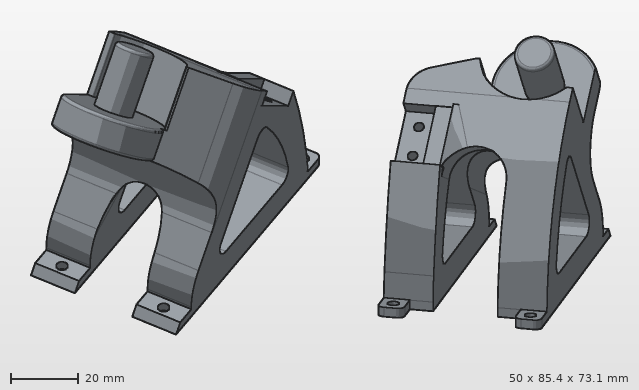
import cadquery as cq
import math


WIDTH = 50.0
LENGTH = 85.37
FOOT_THICKNESS = 3.0
BODY_FRONT_Y = 9.0
BODY_BACK_Y = 77.3

TILT = 40.0
SEAT_Y = 24.6
SEAT_Z = 54.36
SIN_TILT = math.sin(math.radians(TILT))
COS_TILT = math.cos(math.radians(TILT))

PIN_X = 14.0
PIN_DIAMETER = 12.0
PIN_LENGTH = 20.0
SEAT_RADIUS = 16.25
SEAT_THICKNESS = 10.0
EDGE_ROUND = 1.0

NECK_RADIUS = 15.0
SHIN_RADIUS = 18.0
SHIN_CENTRE_Z = 4.0

WALL_LEFT_BACK = 10.9
WALL_RIGHT_BACK = 3.6
WALL_EDGE_ROUND = 0.3
SLOPE_START_X = 30.75
SLOPE_END_BACK = 10.1
SLOPE_CORNER_RADIUS = 9.0

FRAME_WIDTH = 10.0
WINDOW_ROUND = 3.6

SLOT_WIDTH = 19.75
SLOT_SLOPE = 24.5
SLOT_AXIS_Y = 65.0
SLOT_AXIS_Z = 38.2

BLOCK_LEFT_X = (WIDTH + SLOT_WIDTH) / 2
BLOCK_CORNER_BACK = 41.0
BLOCK_FOOT_Z = 11.0
BLOCK_FILLET_RADIUS = 11.5
BLOCK_FILLET_TOP_GAP = 4.1
POCKET_LEFT_X = 40.0
POCKET_LENGTH = 20.0
POCKET_DEPTH = 4.8
POCKET_HOLE_DIAMETER = 3.0
POCKET_HOLE_SPACING = 10.0
POCKET_HOLE_DEPTH = 8.0

EAR_WIDTH = 8.0
EAR_ROUND = 2.0
FOOT_HOLE_DIAMETER = 3.5
EAR_HOLE_INSET = 4.0
FRONT_HOLE_INSET = 7.5
FRONT_HOLE_Y = 5.5

CLEARANCE = 60.0
OVERLAP = 1.0


def tilted(back, up):
    """Side point (y, z) lying `back` behind the pin axis and `up` above the seat."""
    return (
        SEAT_Y + back * COS_TILT + up * SIN_TILT,
        SEAT_Z - back * SIN_TILT + up * COS_TILT,
    )


def on_circle(centre, radius, degrees):
    """Side point on a circle, with the angle measured from +Y towards +Z."""
    angle = math.radians(degrees)
    return (centre[0] + radius * math.cos(angle), centre[1] + radius * math.sin(angle))


def side_sketch(x=0.0):
    """Workplane across X; its local axes are Y and Z."""
    return cq.Workplane("YZ", origin=(x, 0, 0))


def seat_sketch(up=0.0):
    """Workplane parallel to the seat; its local Y is the distance behind the pin axis."""
    seat_plane = cq.Plane(origin=(0, SEAT_Y, SEAT_Z), xDir=(1, 0, 0), normal=(0, SIN_TILT, COS_TILT))
    return cq.Workplane(seat_plane).workplane(offset=up)


TOP_NORMAL_ANGLE = 90.0 - TILT
BACK_RADIUS = (
    PIN_LENGTH - (BODY_BACK_Y - SEAT_Y) * SIN_TILT + SEAT_Z * COS_TILT
) / (1 - SIN_TILT)
BACK_CENTRE = (BODY_BACK_Y - BACK_RADIUS, 0.0)
BACK_FOOT_ANGLE = math.degrees(math.asin(FOOT_THICKNESS / BACK_RADIUS))
BACK_FOOT = on_circle(BACK_CENTRE, BACK_RADIUS, BACK_FOOT_ANGLE)
TOP_TANGENT = on_circle(BACK_CENTRE, BACK_RADIUS, TOP_NORMAL_ANGLE)
TOP_TANGENT_BACK = (TOP_TANGENT[0] - SEAT_Y) * COS_TILT - (TOP_TANGENT[1] - SEAT_Z) * SIN_TILT

SHIN_CENTRE = (BODY_FRONT_Y + SHIN_RADIUS, SHIN_CENTRE_Z)
SHIN_TOP = on_circle(SHIN_CENTRE, SHIN_RADIUS, 180.0 - TILT)
SHIN_LINE_BACK = (SHIN_TOP[0] - SEAT_Y) * COS_TILT - (SHIN_TOP[1] - SEAT_Z) * SIN_TILT

NECK_SWEEP = 90.0
NECK_BACK = SHIN_LINE_BACK - NECK_RADIUS
NECK_CENTRE = tilted(NECK_BACK, -SEAT_THICKNESS - NECK_RADIUS)


def make_body():
    """Side outline of the stand, extruded across the full width."""
    return (
        side_sketch()
        .moveTo(0, 0)
        .lineTo(LENGTH, 0)
        .lineTo(LENGTH, FOOT_THICKNESS)
        .lineTo(*BACK_FOOT)
        .threePointArc(on_circle(BACK_CENTRE, BACK_RADIUS, TOP_NORMAL_ANGLE / 2), TOP_TANGENT)
        .lineTo(*tilted(NECK_BACK, PIN_LENGTH))
        .lineTo(*tilted(NECK_BACK, -SEAT_THICKNESS))
        .threePointArc(
            on_circle(NECK_CENTRE, NECK_RADIUS, NECK_SWEEP / 2 - TILT),
            on_circle(NECK_CENTRE, NECK_RADIUS, -TILT),
        )
        .lineTo(*SHIN_TOP)
        .threePointArc(
            on_circle(SHIN_CENTRE, SHIN_RADIUS, 180.0 - TILT / 2),
            (BODY_FRONT_Y, SHIN_CENTRE_Z),
        )
        .lineTo(BODY_FRONT_Y, FOOT_THICKNESS)
        .lineTo(FOOT_THICKNESS * math.tan(math.radians(TILT)), FOOT_THICKNESS)
        .close()
        .extrude(WIDTH)
    )


def make_block():
    """Block that carries the top plane further back over the right leg."""
    foot_angle = math.degrees(math.asin(BLOCK_FOOT_Z / BACK_RADIUS))
    foot = on_circle(BACK_CENTRE, BACK_RADIUS, foot_angle)
    foot_tangent = (-math.sin(math.radians(foot_angle)), math.cos(math.radians(foot_angle)))
    block_end_back = BLOCK_CORNER_BACK - POCKET_LENGTH
    corner = cq.Vector(*tilted(BLOCK_CORNER_BACK, PIN_LENGTH))
    back_face = cq.Edge.makeTangentArc(cq.Vector(*foot), cq.Vector(*foot_tangent), corner)
    back_face_middle = back_face.positionAt(0.5)
    return (
        side_sketch(BLOCK_LEFT_X)
        .moveTo(*foot)
        .threePointArc((back_face_middle.x, back_face_middle.y), (corner.x, corner.y))
        .lineTo(*tilted(block_end_back, PIN_LENGTH))
        .lineTo(*tilted(block_end_back, PIN_LENGTH - POCKET_DEPTH))
        .lineTo(*on_circle(BACK_CENTRE, BACK_RADIUS - POCKET_DEPTH, foot_angle))
        .close()
        .extrude(WIDTH - BLOCK_LEFT_X)
    )


def block_fillet_section(back):
    """Cross-section, in a plane through the back-arc axis, of the hollow fillet beside the block."""
    slant = math.atan2(back - TOP_TANGENT_BACK, BACK_RADIUS)
    height = BACK_RADIUS / math.cos(slant) - BACK_RADIUS
    reach = math.sqrt(2 * BLOCK_FILLET_RADIUS * height - height**2)
    half_turn = math.asin(reach / BLOCK_FILLET_RADIUS) / 2
    radial = math.radians(TOP_NORMAL_ANGLE) - slant
    section_plane = cq.Plane(
        origin=(BLOCK_LEFT_X, BACK_CENTRE[0], BACK_CENTRE[1]),
        xDir=(1, 0, 0),
        normal=(0, -math.sin(radial), math.cos(radial)),
    )
    arc_middle = (
        -reach + BLOCK_FILLET_RADIUS * math.sin(half_turn),
        BACK_RADIUS + BLOCK_FILLET_RADIUS * (1 - math.cos(half_turn)),
    )
    root = BACK_RADIUS - OVERLAP
    return (
        cq.Workplane(section_plane)
        .moveTo(0, root)
        .lineTo(0, BACK_RADIUS + height)
        .threePointArc(arc_middle, (-reach, BACK_RADIUS))
        .lineTo(-reach, root)
        .close()
        .wires()
        .val()
    )


def make_block_fillet():
    """Hollow fillet between the back arc and the block, widening towards the block corner."""
    start = TOP_TANGENT_BACK + BLOCK_FILLET_TOP_GAP
    intervals = 4
    spacing = (BLOCK_CORNER_BACK - start) / intervals
    sections = [block_fillet_section(start + i * spacing) for i in range(intervals + 1)]
    return cq.Workplane(cq.Solid.makeLoft(sections))


def make_slope_cut():
    """Everything in front of the slanted wall that runs from the seat to the right side."""
    slope = (SLOPE_END_BACK - WALL_RIGHT_BACK) / (WIDTH - SLOPE_START_X)
    inner_x = PIN_X + SEAT_RADIUS / 2
    slope_angle = math.atan(slope)
    turn = math.pi / 2 - slope_angle
    run = SLOPE_CORNER_RADIUS * math.tan(turn / 2)
    run_x = run * math.cos(slope_angle)
    tangent_start = (WIDTH - run_x, SLOPE_END_BACK - run_x * slope)
    return (
        seat_sketch(-SEAT_THICKNESS - NECK_RADIUS)
        .moveTo(inner_x, -CLEARANCE)
        .lineTo(inner_x, WALL_RIGHT_BACK - (SLOPE_START_X - inner_x) * slope)
        .lineTo(*tangent_start)
        .tangentArcPoint((WIDTH, SLOPE_END_BACK + run), relative=False)
        .lineTo(WIDTH + OVERLAP, SLOPE_END_BACK + run)
        .lineTo(WIDTH + OVERLAP, -CLEARANCE)
        .close()
        .extrude(CLEARANCE)
    )


def make_seat():
    """Round seat with rounded rims, trimmed flush with the left side of the part."""
    disc = (
        seat_sketch(-SEAT_THICKNESS)
        .center(PIN_X, 0)
        .circle(SEAT_RADIUS)
        .extrude(SEAT_THICKNESS)
        .edges()
        .fillet(EDGE_ROUND)
    )
    keep_box = cq.Workplane().box(WIDTH, LENGTH, 2 * SEAT_Z, centered=False)
    return disc.intersect(keep_box)


def make_pin():
    """Pin standing on the seat, with a rounded free end."""
    return (
        seat_sketch()
        .center(PIN_X, 0)
        .circle(PIN_DIAMETER / 2)
        .extrude(PIN_LENGTH)
        .faces(">Z")
        .edges()
        .fillet(EDGE_ROUND)
    )


def make_wall_cut():
    """Space around the pin above the seat, with a round wall centred on the pin."""
    left_x = PIN_X - math.sqrt(SEAT_RADIUS**2 - WALL_LEFT_BACK**2)
    right_x = PIN_X + math.sqrt(SEAT_RADIUS**2 - WALL_RIGHT_BACK**2)
    cut = (
        seat_sketch()
        .moveTo(-OVERLAP, -CLEARANCE)
        .lineTo(-OVERLAP, WALL_LEFT_BACK)
        .lineTo(left_x, WALL_LEFT_BACK)
        .threePointArc((PIN_X, SEAT_RADIUS), (right_x, WALL_RIGHT_BACK))
        .lineTo(SLOPE_START_X, WALL_RIGHT_BACK)
        .lineTo(SLOPE_START_X, -CLEARANCE)
        .close()
        .extrude(PIN_LENGTH + OVERLAP)
    )
    for x, back in ((left_x, WALL_LEFT_BACK), (right_x, WALL_RIGHT_BACK)):
        corner = (x, *tilted(back, PIN_LENGTH / 2))
        cut = cut.edges(cq.NearestToPointSelector(corner)).fillet(WALL_EDGE_ROUND)
    return cut


def make_slot():
    """Round-topped slot between the legs, sloping down towards the front."""
    slope = math.radians(SLOT_SLOPE)
    slot_plane = cq.Plane(
        origin=(WIDTH / 2, SLOT_AXIS_Y, SLOT_AXIS_Z),
        xDir=(1, 0, 0),
        normal=(0, -math.cos(slope), -math.sin(slope)),
    )
    return (
        cq.Workplane(slot_plane)
        .moveTo(SLOT_WIDTH / 2, 0)
        .threePointArc((0, SLOT_WIDTH / 2), (-SLOT_WIDTH / 2, 0))
        .lineTo(-SLOT_WIDTH / 2, -CLEARANCE)
        .lineTo(SLOT_WIDTH / 2, -CLEARANCE)
        .close()
        .extrude(2 * CLEARANCE, both=True)
    )


def make_window():
    """Rounded opening through the sides, one frame width inside the back, base and shin line."""
    inner_radius = BACK_RADIUS - FRAME_WIDTH
    diagonal_back = SHIN_LINE_BACK + FRAME_WIDTH
    centre_y, centre_z = BACK_CENTRE
    sill_angle = math.degrees(math.asin(FRAME_WIDTH / inner_radius))
    back_corner = on_circle(BACK_CENTRE, inner_radius, sill_angle)
    centre_back = (centre_y - SEAT_Y) * COS_TILT - (centre_z - SEAT_Z) * SIN_TILT
    centre_up = (centre_y - SEAT_Y) * SIN_TILT + (centre_z - SEAT_Z) * COS_TILT
    top_up = centre_up + math.sqrt(inner_radius**2 - (diagonal_back - centre_back) ** 2)
    top_corner = tilted(diagonal_back, top_up)
    top_angle = math.degrees(math.atan2(top_corner[1] - centre_z, top_corner[0] - centre_y))
    sill_up = (FRAME_WIDTH - SEAT_Z + diagonal_back * SIN_TILT) / COS_TILT
    front_corner = tilted(diagonal_back, sill_up)
    return (
        side_sketch()
        .moveTo(*front_corner)
        .lineTo(*back_corner)
        .threePointArc(on_circle(BACK_CENTRE, inner_radius, (sill_angle + top_angle) / 2), top_corner)
        .close()
        .extrude(WIDTH)
        .edges("|X")
        .fillet(WINDOW_ROUND)
    )


def make_block_pocket():
    """Shallow pocket in the block, open to the right, with two screw holes in its floor."""
    pocket_width = WIDTH - POCKET_LEFT_X
    middle = (POCKET_LEFT_X + pocket_width / 2, BLOCK_CORNER_BACK - POCKET_LENGTH / 2)
    floor = PIN_LENGTH - POCKET_DEPTH
    pocket = seat_sketch(floor).center(*middle).rect(pocket_width, POCKET_LENGTH).extrude(2 * POCKET_DEPTH)
    holes = (
        seat_sketch(floor)
        .center(*middle)
        .rarray(1, POCKET_HOLE_SPACING, 1, 2)
        .circle(POCKET_HOLE_DIAMETER / 2)
        .extrude(-POCKET_HOLE_DEPTH)
    )
    return pocket.union(holes)


def make_ear_gap():
    """Gap that leaves two rounded ears at the back end of the base."""
    ear_length = LENGTH - BACK_FOOT[0]
    return (
        cq.Workplane("XY", origin=(0, LENGTH, 0))
        .moveTo(EAR_WIDTH, -ear_length)
        .lineTo(WIDTH - EAR_WIDTH, -ear_length)
        .lineTo(WIDTH - EAR_WIDTH, 0)
        .lineTo(EAR_WIDTH, 0)
        .close()
        .extrude(FOOT_THICKNESS)
    )


def make_foot_holes():
    """Screw holes through the two front feet and the two ears."""
    ear_hole_y = LENGTH - EAR_HOLE_INSET
    centres = [
        (FRONT_HOLE_INSET, FRONT_HOLE_Y),
        (WIDTH - FRONT_HOLE_INSET, FRONT_HOLE_Y),
        (EAR_HOLE_INSET, ear_hole_y),
        (WIDTH - EAR_HOLE_INSET, ear_hole_y),
    ]
    return cq.Workplane().pushPoints(centres).circle(FOOT_HOLE_DIAMETER / 2).extrude(FOOT_THICKNESS)


stand = make_body().union(make_block()).union(make_block_fillet())
stand = stand.cut(make_slope_cut()).cut(make_wall_cut())
stand = stand.union(make_seat()).union(make_pin())
stand = stand.cut(make_slot()).cut(make_window()).cut(make_block_pocket())
stand = stand.cut(make_ear_gap())
stand = stand.edges("|Z").edges(">Y").fillet(EAR_ROUND)
result = stand.cut(make_foot_holes())